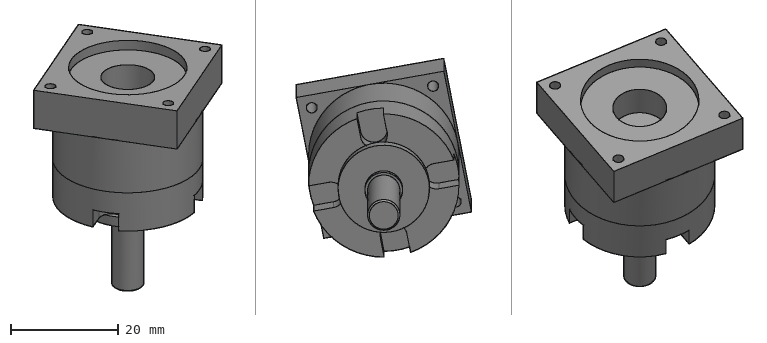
import cadquery as cq

TOTAL_HEIGHT = 45.5
BODY_WIDTH = 28.0

PLATE_THICKNESS = 8.0
PILOT_DIAMETER = 22.0
PILOT_DEPTH = 2.0
BORE_DIAMETER = 10.0
MOUNT_HOLE_DIAMETER = 2.0
MOUNT_HOLE_SPACING = 23.0

STAGE_HEIGHT = 11.0

FLANGE_HEIGHT = 8.0
COLLAR_DIAMETER = 17.0
COLLAR_HEIGHT = 2.0
SHOULDER_DIAMETER = 7.0
SHOULDER_HEIGHT = 1.0
SHAFT_DIAMETER = 6.0
SHAFT_CHAMFER = 0.3

NOTCH_WIDTH = 5.0
NOTCH_HEIGHT = 3.6
NOTCH_CENTER_RADIUS = 10.0
NOTCH_COUNT = 4

plate_bottom = TOTAL_HEIGHT - PLATE_THICKNESS
stage_bottom = plate_bottom - STAGE_HEIGHT
flange_bottom = stage_bottom - FLANGE_HEIGHT
collar_bottom = flange_bottom - COLLAR_HEIGHT
shoulder_bottom = collar_bottom - SHOULDER_HEIGHT


def cylinder(diameter, bottom, top):
    """Upright cylinder on the Z axis between two levels."""
    return cq.Workplane("XY", origin=(0, 0, bottom)).circle(diameter / 2).extrude(top - bottom)


def make_motor_plate():
    """Square plate with a pilot recess, a through bore and four mounting holes."""
    plate = (
        cq.Workplane("XY", origin=(0, 0, plate_bottom))
        .rect(BODY_WIDTH, BODY_WIDTH)
        .extrude(PLATE_THICKNESS)
    )
    mount_holes = (
        cq.Workplane("XY", origin=(0, 0, plate_bottom))
        .rect(MOUNT_HOLE_SPACING, MOUNT_HOLE_SPACING, forConstruction=True)
        .vertices()
        .circle(MOUNT_HOLE_DIAMETER / 2)
        .extrude(PLATE_THICKNESS)
    )
    pilot = cylinder(PILOT_DIAMETER, TOTAL_HEIGHT - PILOT_DEPTH, TOTAL_HEIGHT)
    bore = cylinder(BORE_DIAMETER, plate_bottom, TOTAL_HEIGHT)
    return plate.cut(pilot).cut(bore).cut(mount_holes)


def make_gear_stage():
    """Plain round stage between the plate and the output flange."""
    return cylinder(BODY_WIDTH, stage_bottom, plate_bottom)


def make_notch():
    """Round-ended notch on the +X side, open to the rim and the underside."""
    run_out = BODY_WIDTH / 2
    notch = cq.Workplane("XY", origin=(0, 0, flange_bottom))
    round_end = notch.center(NOTCH_CENTER_RADIUS, 0).circle(NOTCH_WIDTH / 2).extrude(NOTCH_HEIGHT)
    straight = (
        notch.center(NOTCH_CENTER_RADIUS + run_out / 2, 0)
        .rect(run_out, NOTCH_WIDTH)
        .extrude(NOTCH_HEIGHT)
    )
    return round_end.union(straight)


def make_output_flange():
    """Notched flange with a collar, a shoulder and the output shaft below it."""
    flange = cylinder(BODY_WIDTH, flange_bottom, stage_bottom)
    notch = make_notch()
    for i in range(NOTCH_COUNT):
        flange = flange.cut(notch.rotate((0, 0, 0), (0, 0, 1), i * 360 / NOTCH_COUNT))
    collar = cylinder(COLLAR_DIAMETER, collar_bottom, flange_bottom)
    shoulder = cylinder(SHOULDER_DIAMETER, shoulder_bottom, collar_bottom)
    shaft = cylinder(SHAFT_DIAMETER, 0, shoulder_bottom).faces("<Z").chamfer(SHAFT_CHAMFER)
    return flange.union(collar).union(shoulder).union(shaft)


motor_plate = make_motor_plate()
gear_stage = make_gear_stage()
output_flange = make_output_flange()

result = cq.Compound.makeCompound([motor_plate.val(), gear_stage.val(), output_flange.val()])